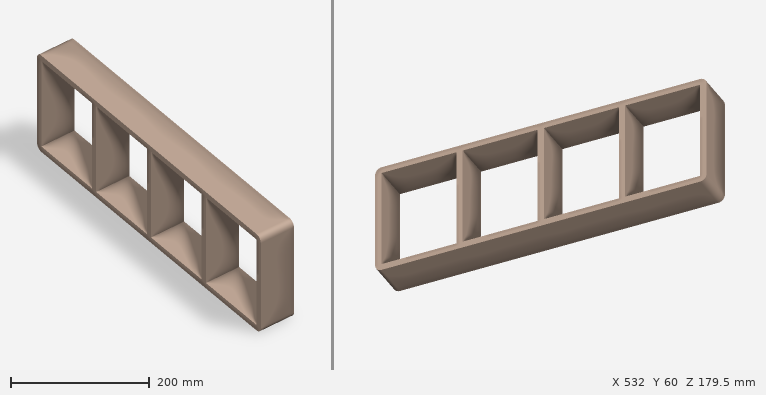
import cadquery as cq

length = 532.0
depth = 60.0
height = 179.5
wall = 10.0
corner_radius = 10.0
compartment_count = 4

opening_width = (length - (compartment_count + 1) * wall) / compartment_count
opening_height = height - 2 * wall
opening_pitch = opening_width + wall

body = cq.Workplane("XY").box(length, depth, height).edges("|Y").fillet(corner_radius)

openings = (
    cq.Workplane("XZ")
    .rarray(opening_pitch, 5.5, compartment_count, 1)
    .rect(opening_width, opening_height)
    .extrude(depth / 2, both=True)
)

result = body.cut(openings)